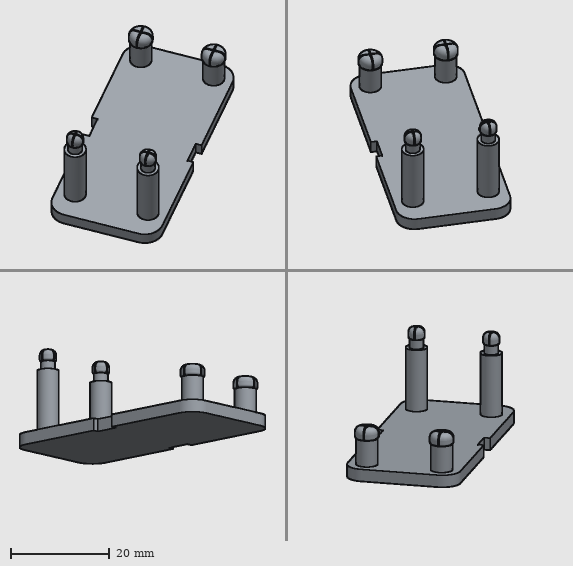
import cadquery as cq

plate_width = 23.75
plate_length = 50.8
plate_thickness = 2.6
corner_radius = 3.8
notch_depth = 1.25
notch_length = 5.1

post_x = 7.85
short_post_y = 21.4
tall_post_y = -19.05

post_diameter = 4.45
neck_diameter = 2.95
short_post_top = 10.65
tall_post_top = 20.05
tall_shoulder_height = 15.65

head_height = 2.55
short_head_diameter = 5.0
tall_head_diameter = 3.45
dome_radius = 1.25
head_underside_radius = 0.5
slot_width = 0.25


def cylinder(diameter, bottom, top):
    """Upright cylinder on the Z axis."""
    return cq.Workplane("XY").workplane(offset=bottom).circle(diameter / 2).extrude(top - bottom)


def make_plate():
    """Rounded plate with a notch in the middle of each long side."""
    plate = (
        cq.Workplane("XY")
        .rect(plate_width, plate_length)
        .extrude(plate_thickness)
        .edges("|Z")
        .fillet(corner_radius)
    )
    notches = (
        cq.Workplane("XY")
        .pushPoints([(-plate_width / 2, 0), (plate_width / 2, 0)])
        .rect(2 * notch_depth, notch_length)
        .extrude(plate_thickness)
    )
    return plate.cut(notches)


def make_head(diameter, bottom):
    """Domed head, split into four quarters by two crossed slots."""
    head = (
        cylinder(diameter, bottom, bottom + head_height)
        .faces(">Z")
        .edges()
        .fillet(dome_radius)
        .faces("<Z")
        .edges()
        .fillet(head_underside_radius)
    )
    slot_plane = cq.Workplane("XY").workplane(offset=bottom)
    slot_along_x = slot_plane.rect(diameter, slot_width).extrude(head_height)
    slot_along_y = slot_plane.rect(slot_width, diameter).extrude(head_height)
    return head.cut(slot_along_x).cut(slot_along_y)


def make_short_post():
    """Plain shaft standing on the plate, with a split head."""
    head_bottom = short_post_top - head_height
    shaft = cylinder(post_diameter, plate_thickness, head_bottom)
    return shaft.union(make_head(short_head_diameter, head_bottom))


def make_tall_post():
    """Shaft standing on the plate, with a shoulder, a thinner neck and a split head."""
    head_bottom = tall_post_top - head_height
    shaft = cylinder(post_diameter, plate_thickness, tall_shoulder_height)
    neck = cylinder(neck_diameter, tall_shoulder_height, head_bottom)
    return shaft.union(neck).union(make_head(tall_head_diameter, head_bottom))


plate = make_plate()
short_posts = []
tall_posts = []
for x in (-post_x, post_x):
    short_posts.append(make_short_post().translate((x, short_post_y, 0)).val())
    tall_posts.append(make_tall_post().translate((x, tall_post_y, 0)).val())

result = cq.Compound.makeCompound([plate.val(), *short_posts, *tall_posts])